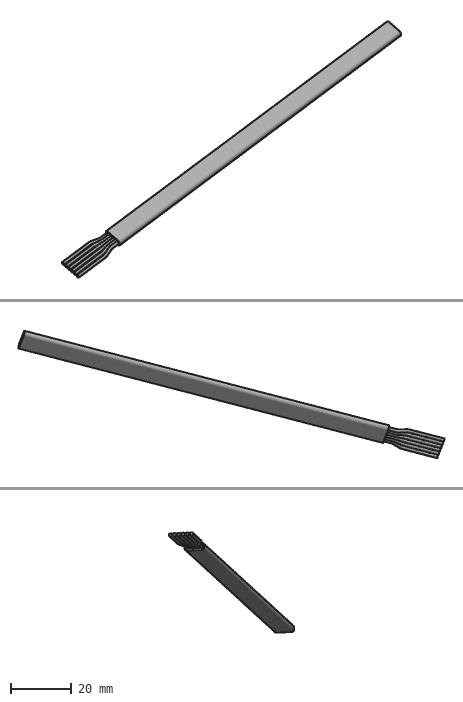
import cadquery as cq
import math

overall_length = 146
overall_width = 8.3

sheath_width = 6.9
sheath_thickness = 2.5
sheath_edge_radius = 1.0
sheath_start = 19.1

strand_count = 6
strand_diameter = 1.2
neck_width = 6.0
fan_start = 15.9
fan_end = 12.5
bend_setback = 0.5
embed_depth = 1.5


def make_sheath():
    profile = cq.Workplane("XZ", origin=(0, overall_length, 0)).rect(sheath_width, sheath_thickness)
    bar = profile.extrude(overall_length - sheath_start)
    return bar.edges("|Y").fillet(sheath_edge_radius)


def make_strand(neck_x, tip_x):
    """Round strand: straight neck, sloped fan and straight tip joined by tangent bends."""
    slope_length = math.hypot(tip_x - neck_x, fan_start - fan_end)
    bend_x = bend_setback * (tip_x - neck_x) / slope_length
    bend_y = bend_setback * (fan_start - fan_end) / slope_length
    neck_end = sheath_start + embed_depth
    path = (
        cq.Workplane("XY")
        .moveTo(neck_x, neck_end)
        .lineTo(neck_x, fan_start + bend_setback)
        .tangentArcPoint((neck_x + bend_x, fan_start - bend_y), relative=False)
        .lineTo(tip_x - bend_x, fan_end + bend_y)
        .tangentArcPoint((tip_x, fan_end - bend_setback), relative=False)
        .lineTo(tip_x, 0)
    )
    profile = cq.Workplane("XZ", origin=(neck_x, neck_end, 0)).circle(strand_diameter / 2)
    return profile.sweep(path)


neck_pitch = (neck_width - strand_diameter) / (strand_count - 1)
tip_pitch = (overall_width - strand_diameter) / (strand_count - 1)

result = make_sheath()
for index in range(strand_count):
    steps_from_center = index - (strand_count - 1) / 2
    result = result.union(make_strand(steps_from_center * neck_pitch, steps_from_center * tip_pitch))